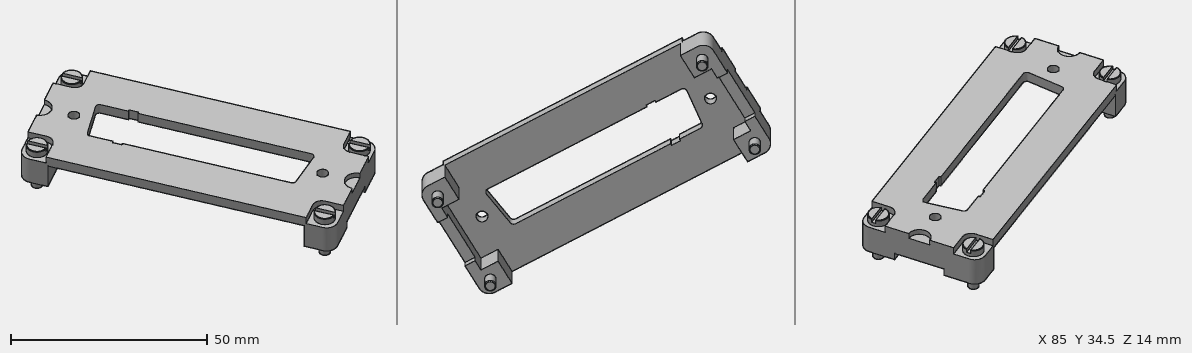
import cadquery as cq
import math

LENGTH = 85.0
WIDTH = 34.5
PLATE_THICKNESS = 3.0
CORNER_RADIUS = 3.0

FOOT_LENGTH = 8.0
FOOT_DEPTH = 10.0
POST_WIDTH = 7.2
END_WALL = 3.0
RELIEF_WIDTH = 14.0
RELIEF_HEIGHT = 2.0

WINDOW_TOP_HALF_LENGTH = 29.5
WINDOW_WIDTH = 12.0
WINDOW_SIDE_ANGLE = 7.2
WINDOW_CORNER_RADIUS = 1.0
KEYWAY_X = -19.6
KEYWAY_LENGTH = 2.55
KEYWAY_DEPTH = 0.5

HOLE_DIAMETER = 3.0
HOLE_INSET = 9.0
RECESS_RADIUS = 3.0
RECESS_DEPTH = 1.5

POCKET_SIZE = 7.5
POCKET_DEPTH = 2.0
POCKET_RADIUS = 2.5
SCREW_INSET = 3.7
HEAD_DIAMETER = 5.5
HEAD_CHAMFER = 0.2
SLOT_WIDTH = 1.1
SLOT_DEPTH = 1.0
SHANK_DIAMETER = 3.0
SHANK_CHAMFER = 0.25
SCREW_LENGTH = 14.0

END_SIGNS = (-1, 1)
CORNER_SIGNS = [(x_sign, y_sign) for x_sign in END_SIGNS for y_sign in END_SIGNS]


def block_down(length, width, depth):
    """Block centred on the Z axis that hangs down from Z = 0."""
    return cq.Workplane("XY").rect(length, width).extrude(-depth)


def make_frame():
    """Plate with rounded outer corners, standing on corner posts and end walls."""
    frame = block_down(LENGTH, WIDTH, FOOT_DEPTH).edges("|Z").fillet(CORNER_RADIUS)
    gap_depth = FOOT_DEPTH - PLATE_THICKNESS
    gap = block_down(LENGTH - 2 * FOOT_LENGTH, WIDTH, gap_depth)
    hollow = block_down(LENGTH - 2 * END_WALL, WIDTH - 2 * POST_WIDTH, gap_depth)
    relief = block_down(LENGTH, RELIEF_WIDTH, RELIEF_HEIGHT)
    frame = frame.cut(gap.union(hollow).translate((0, 0, -PLATE_THICKNESS)))
    return frame.cut(relief.translate((0, 0, RELIEF_HEIGHT - FOOT_DEPTH)))


def make_window():
    """Trapezoidal opening with rounded corners and two opposite keyways."""
    half_width = WINDOW_WIDTH / 2
    bottom_half_length = WINDOW_TOP_HALF_LENGTH - WINDOW_WIDTH * math.tan(math.radians(WINDOW_SIDE_ANGLE))
    corners = [
        (-WINDOW_TOP_HALF_LENGTH, half_width),
        (WINDOW_TOP_HALF_LENGTH, half_width),
        (bottom_half_length, -half_width),
        (-bottom_half_length, -half_width),
    ]
    opening = cq.Workplane("XY").polyline(corners).close().extrude(-PLATE_THICKNESS)
    opening = opening.edges("|Z").fillet(WINDOW_CORNER_RADIUS)
    keyways = block_down(KEYWAY_LENGTH, WINDOW_WIDTH + 2 * KEYWAY_DEPTH, PLATE_THICKNESS)
    return opening.union(keyways.translate((KEYWAY_X, 0, 0)))


def make_end_cuts():
    """Through holes beside the window and half-round recesses in the end faces."""
    hole_points = [(sign * (LENGTH / 2 - HOLE_INSET), 0) for sign in END_SIGNS]
    recess_points = [(sign * LENGTH / 2, 0) for sign in END_SIGNS]
    holes = cq.Workplane("XY").pushPoints(hole_points).circle(HOLE_DIAMETER / 2).extrude(-FOOT_DEPTH)
    recesses = cq.Workplane("XY").pushPoints(recess_points).circle(RECESS_RADIUS).extrude(-RECESS_DEPTH)
    return holes.union(recesses)


def make_pocket(x_sign, y_sign):
    """Corner pocket; it is open to both outer sides, so it is centred on the corner."""
    pocket = block_down(2 * POCKET_SIZE, 2 * POCKET_SIZE, POCKET_DEPTH)
    pocket = pocket.edges("|Z").fillet(POCKET_RADIUS)
    return pocket.translate((x_sign * LENGTH / 2, y_sign * WIDTH / 2, 0))


def make_screw(x_sign, y_sign):
    """Slotted cheese-head screw standing on the pocket floor, its head flush with the plate."""
    shank = cq.Workplane("XY").circle(SHANK_DIAMETER / 2).extrude(-SCREW_LENGTH)
    shank = shank.faces("<Z").chamfer(SHANK_CHAMFER)
    head = cq.Workplane("XY").circle(HEAD_DIAMETER / 2).extrude(-POCKET_DEPTH)
    head = head.faces(">Z").chamfer(HEAD_CHAMFER)
    screw = head.union(shank).cut(block_down(HEAD_DIAMETER, SLOT_WIDTH, SLOT_DEPTH))
    return screw.translate((x_sign * (LENGTH / 2 - SCREW_INSET), y_sign * (WIDTH / 2 - SCREW_INSET), 0))


result = make_frame().cut(make_window()).cut(make_end_cuts())
for corner in CORNER_SIGNS:
    result = result.cut(make_pocket(*corner))
    result = result.union(make_screw(*corner))